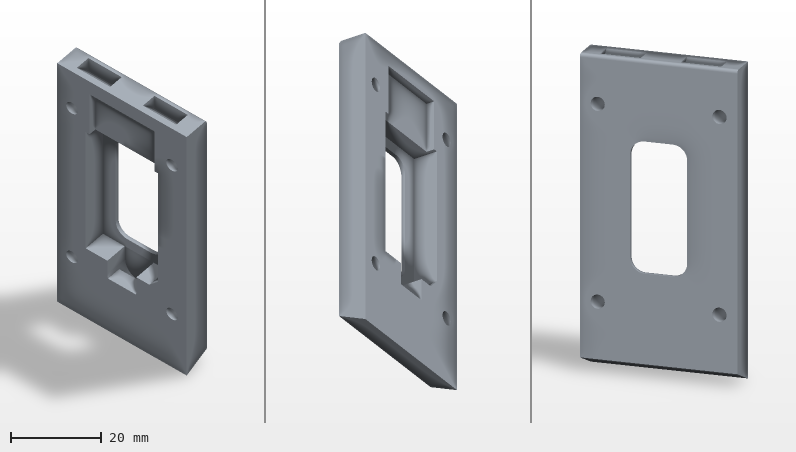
import cadquery as cq
import math

width = 37.0
thickness = 7.0
height = 73.42
bottom_bevel_angle = 23.5
top_back_radius = 0.8

recess_width = 20.7
recess_height = 35.8
recess_depth = 6.0
recess_top = -16.2
recess_corner_cut = 2.5
recess_bottom = recess_top - recess_height

upper_recess_width = 18.5
upper_recess_top = -3.9
upper_recess_depth = 2.0

window_width = 13.4
window_height = 30.6
window_radius = 3.4
window_center_z = recess_top - recess_height / 2

notch_width = 8.3
notch_ledge_drop = 5.4
notch_ledge_thickness = 3.9
notch_depth = 6.2
notch_radius = notch_width / 2
notch_center_drop = 4.3
notch_center_z = recess_bottom - notch_center_drop

screw_diameter = 3.3
screw_spacing_x = 28.6
screw_spacing_z = 45.8
screw_center_z = -34.15

top_pocket_width = 9.5
top_pocket_thickness = 4.0
top_pocket_front_y = 1.6
top_pocket_spacing = 18.9


def front_plane():
    """Sketch plane on the front face whose extrusions run toward +Y; sketch axes are -X and Z."""
    return cq.Workplane(cq.Plane(origin=(0, 0, 0), xDir=(-1, 0, 0), normal=(0, 1, 0)))


def front_pocket(pocket_width, top, bottom, depth):
    """Rectangular cutter centred on X = 0, running from the front face to the given depth."""
    return (
        front_plane()
        .center(0, (top + bottom) / 2)
        .rect(pocket_width, top - bottom)
        .extrude(depth)
    )


def side_profile(points, length, center_x):
    """Prism of a (Y, Z) outline, centred on center_x along X."""
    return (
        cq.Workplane("YZ", origin=(center_x, 0, 0))
        .polyline(points)
        .close()
        .extrude(length / 2, both=True)
    )


def plate():
    back_bottom = -height + thickness * math.tan(math.radians(bottom_bevel_angle))
    outline = [
        (0, 0),
        (thickness, 0),
        (thickness, back_bottom),
        (0, -height),
    ]
    return side_profile(outline, width, 0).edges("|X and >Z and >Y").fillet(top_back_radius)


def main_recess():
    block = front_pocket(recess_width, recess_top, recess_bottom, recess_depth)
    return block.edges("|Y and >X and <Z").chamfer(recess_corner_cut)


def upper_recess():
    return front_pocket(upper_recess_width, upper_recess_top, recess_top, upper_recess_depth)


def window():
    window_top = window_center_z + window_height / 2
    block = front_pocket(window_width, window_top, window_top - window_height, thickness)
    return block.edges("|Y").fillet(window_radius)


def latch_notch():
    slot = front_pocket(notch_width, recess_bottom, notch_center_z, notch_depth)
    round_end = front_plane().center(0, notch_center_z).circle(notch_radius).extrude(notch_depth)
    ledge_z = recess_bottom - notch_ledge_drop
    round_end_bottom = notch_center_z - notch_radius
    ledge = front_pocket(notch_width, ledge_z, round_end_bottom, notch_ledge_thickness)
    return slot.union(round_end.cut(ledge))


def screw_holes():
    return (
        front_plane()
        .center(0, screw_center_z)
        .rect(screw_spacing_x, screw_spacing_z, forConstruction=True)
        .vertices()
        .circle(screw_diameter / 2)
        .extrude(thickness)
    )


def top_pocket(center_x):
    back_y = top_pocket_front_y + top_pocket_thickness
    outline = [
        (top_pocket_front_y, 0),
        (back_y, 0),
        (back_y, -top_pocket_thickness),
    ]
    return side_profile(outline, top_pocket_width, center_x)


result = plate()
for cutter in (main_recess(), upper_recess(), window(), latch_notch(), screw_holes()):
    result = result.cut(cutter)
for side in (-1, 1):
    result = result.cut(top_pocket(side * top_pocket_spacing / 2))